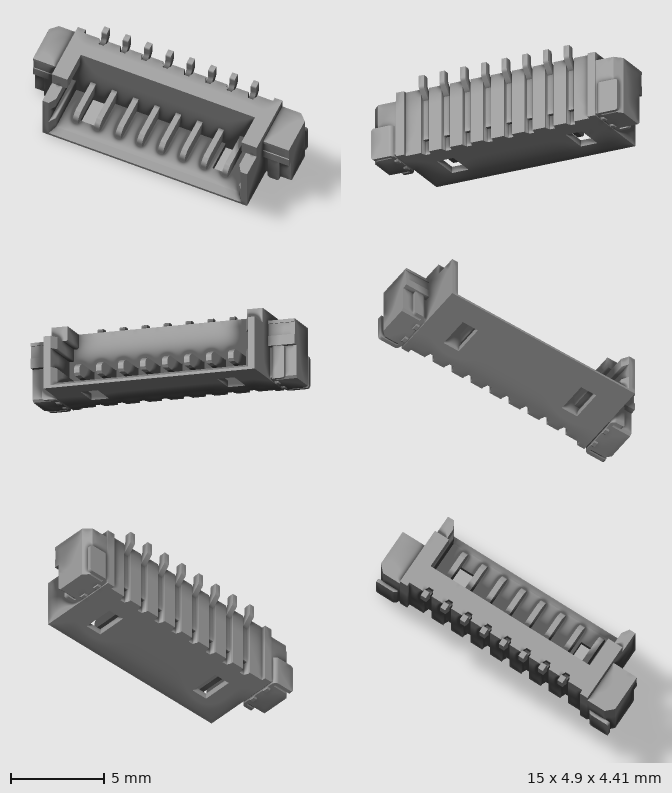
import cadquery as cq
import math

housing_half_width = 6.0
housing_height = 3.7
housing_depth = 4.47
rear_post_width = 0.46
rear_post_depth = 4.7
arm_front = 1.28
arm_bottom = 2.9

cavity_back = 3.08
floor_top = 0.36
arm_half_gap = 5.1
rib_half_gap = 5.37
groove_half_gap = 5.62
groove_bottom = 1.17
groove_top = 2.22
lead_in_depth = 0.4
lead_in_rise = 0.21
arm_edge_radius = 0.1
rib_edge_radius = 0.06

window_inner = 3.39
window_outer = 4.38
window_front = 1.3

ear_half_width = 7.5
ear_top = 3.21
ear_front = 2.13
ear_back = 4.66
ear_corner_chamfer = 0.4
ear_bottom_chamfer = 0.14
ear_undercut_height = 1.8
label_bottom = 2.35
label_top = 3.03
label_recess = 0.06
gap_height_outer = 0.14
gap_height_inner = 0.08

clip_thickness = 0.21
clip_inner_x = 6.12
clip_bend_radius = 0.25
clip_front = 2.22
clip_front_tip = 6.88
clip_back = 4.86
clip_back_tip = 7.42
clip_corner_radius = 0.15
peg_drop = 0.09
peg_length = 0.39
peg_chamfer = 0.06
peg_front_faces = (2.84, 3.88)

pin_count = 8
pin_pitch = 3.75 / 3
pin_width = 0.32
blade_tip = 0.72
blade_bottom = 0.78
blade_top = 1.5
blade_bevel_start = 0.87
blade_bevel_rise = 0.14
blade_slope_start = 1.11
blade_slope_angle = 30
blade_nose_radius = 0.3
shoulder_length = 0.09
shoulder_top = 1.55
tail_back = 4.9
tail_front = 4.48
tail_top = 4.32
tail_front_knee = 3.78
tail_lean_angle = 45
tail_top_radius = 0.1
tail_front_knee_radius = 0.24
tail_back_knee_radius = 0.25
riser_front = 4.11
riser_back = 4.35
riser_radius = 0.18

slot_width = 0.5
slot_taper_back = 4.35
slot_taper_front = 4.17

undercut_face = clip_front + clip_thickness


def box(x0, x1, y0, y1, z0, z1):
    """Axis-aligned block between two opposite corners."""
    return cq.Workplane("XY").box(x1 - x0, y1 - y0, z1 - z0, centered=False).translate((x0, y0, z0))


def on_both_sides(right_half):
    """The given shape together with its mirror image across X = 0."""
    return right_half.union(right_half.mirror("YZ"))


def side_profile(points, width):
    """Outline of (y, z) points extruded symmetrically along X."""
    return cq.Workplane("YZ").polyline(points).close().extrude(width / 2, both=True)


def pin_positions():
    first_pin = -pin_pitch * (pin_count - 1) / 2
    return [first_pin + pin_pitch * i for i in range(pin_count)]


def housing_shell():
    side_outline = [
        (0, 0),
        (housing_depth, 0),
        (housing_depth, housing_height),
        (arm_front, housing_height),
        (arm_front, arm_bottom),
        (0, arm_bottom),
    ]
    post = box(
        housing_half_width - rear_post_width, housing_half_width,
        housing_depth, rear_post_depth, 0, housing_height,
    )
    return side_profile(side_outline, 2 * housing_half_width).union(on_both_sides(post))


def mating_cavity():
    """Cavity with a groove along each side wall, narrowed above by the two arms."""
    right_half = (
        cq.Workplane("XZ")
        .moveTo(0, floor_top)
        .lineTo(rib_half_gap, floor_top)
        .lineTo(rib_half_gap, groove_bottom - rib_edge_radius)
        .radiusArc((rib_half_gap + rib_edge_radius, groove_bottom), rib_edge_radius)
        .lineTo(groove_half_gap, groove_bottom)
        .lineTo(groove_half_gap, groove_top)
        .lineTo(rib_half_gap + rib_edge_radius, groove_top)
        .radiusArc((rib_half_gap, groove_top + rib_edge_radius), rib_edge_radius)
        .lineTo(rib_half_gap, arm_bottom)
        .lineTo(arm_half_gap + arm_edge_radius, arm_bottom)
        .radiusArc((arm_half_gap, arm_bottom + arm_edge_radius), arm_edge_radius)
        .lineTo(arm_half_gap, housing_height)
        .lineTo(0, housing_height)
        .close()
        .extrude(-cavity_back)
    )
    lead_in = (
        cq.Workplane("XZ")
        .polyline(cavity_mouth(groove_half_gap, floor_top - lead_in_rise))
        .close()
        .workplane(offset=-lead_in_depth)
        .polyline(cavity_mouth(rib_half_gap, floor_top))
        .close()
        .loft(ruled=True)
    )
    return on_both_sides(right_half).union(lead_in)


def cavity_mouth(half_width, bottom):
    """Rectangle of (x, z) corners reaching up to the side wall tops."""
    return [
        (-half_width, bottom),
        (half_width, bottom),
        (half_width, arm_bottom),
        (-half_width, arm_bottom),
    ]


def floor_windows():
    return on_both_sides(box(window_inner, window_outer, window_front, cavity_back, 0, floor_top))


def tail_slot():
    """Slot down the rear wall that tapers onto the pin riser."""
    half_pin = pin_width / 2
    half_slot = slot_width / 2
    return (
        cq.Workplane("XY")
        .polyline([
            (-half_slot, housing_depth),
            (-half_slot, slot_taper_back),
            (-half_pin, slot_taper_front),
            (-half_pin, riser_front),
            (half_pin, riser_front),
            (half_pin, slot_taper_front),
            (half_slot, slot_taper_back),
            (half_slot, housing_depth),
        ])
        .close()
        .extrude(housing_height)
    )


def right_ear():
    ear = box(housing_half_width, ear_half_width, ear_front, ear_back, 0, ear_top)
    ear = ear.edges("|Z and >X and >Y").chamfer(ear_corner_chamfer)
    ear = ear.cut(
        box(housing_half_width, ear_half_width, ear_front, undercut_face, 0, ear_undercut_height)
    )
    ear = ear.faces("<Z").edges("|X").chamfer(ear_bottom_chamfer)
    label_panel = box(
        housing_half_width, ear_half_width,
        ear_front, ear_front + label_recess, label_bottom, label_top,
    )
    gap = (
        cq.Workplane("XZ", origin=(0, undercut_face, 0))
        .polyline([
            (housing_half_width, 0),
            (clip_inner_x, 0),
            (clip_inner_x, gap_height_outer),
            (housing_half_width, gap_height_inner),
        ])
        .close()
        .extrude(undercut_face - ear_back)
    )
    return ear.cut(label_panel).cut(gap)


def right_clip():
    """U-shaped strip: two flanges joined by a web along the ear, with two pegs below."""
    web_outer_x = clip_inner_x + clip_thickness
    web = box(clip_inner_x, web_outer_x, clip_front, clip_back, 0, ear_undercut_height)
    front_flange = box(
        clip_inner_x, clip_front_tip, clip_front, undercut_face, 0, ear_undercut_height
    )
    back_flange = box(
        clip_inner_x, clip_back_tip, clip_back - clip_thickness, clip_back, 0, ear_undercut_height
    )
    front_flange = front_flange.edges("|Y and >X").fillet(clip_corner_radius)
    back_flange = back_flange.edges("|Y and >X").fillet(clip_corner_radius)
    clip = web.union(front_flange).union(back_flange)
    clip = clip.edges("|Z and <X").fillet(clip_bend_radius)
    for peg_front in peg_front_faces:
        peg = box(clip_inner_x, web_outer_x, peg_front, peg_front + peg_length, -peg_drop, 0)
        clip = clip.union(peg.faces("<Z").edges("|X").chamfer(peg_chamfer))
    return clip


def round_corner(body, y, z, radius):
    """Fillet the edge along X that passes through (y, z)."""
    return body.edges(cq.NearestToPointSelector((0, y, z))).fillet(radius)


def contact_blade():
    """Blade crossing the cavity, with a sloped and rounded nose."""
    slope_drop = (blade_slope_start - blade_tip) * math.tan(math.radians(blade_slope_angle))
    nose_top = blade_top - slope_drop
    blade = side_profile([
        (riser_back, blade_bottom),
        (blade_bevel_start, blade_bottom),
        (blade_tip, blade_bottom + blade_bevel_rise),
        (blade_tip, nose_top),
        (blade_slope_start, blade_top),
        (cavity_back - shoulder_length, blade_top),
        (cavity_back, shoulder_top),
        (riser_back, shoulder_top),
    ], pin_width)
    blade = round_corner(blade, blade_tip, nose_top, blade_nose_radius)
    return round_corner(blade, blade_slope_start, blade_top, blade_nose_radius)


def contact_tail():
    """Riser from the blade that leans back and ends in an upright solder tail."""
    lean_slope = math.tan(math.radians(tail_lean_angle))
    riser_front_top = tail_front_knee - (tail_front - riser_front) * lean_slope
    half_lean = math.radians(tail_lean_angle / 2)
    tail_back_knee = tail_front_knee - (tail_back - tail_front) * math.tan(half_lean)
    tail = side_profile([
        (tail_back, tail_top),
        (tail_front, tail_top),
        (tail_front, tail_front_knee),
        (riser_front, riser_front_top),
        (riser_front, blade_bottom),
        (riser_back, blade_bottom),
        (riser_back, tail_back_knee - (tail_back - riser_back) * lean_slope),
        (tail_back, tail_back_knee),
    ], pin_width)
    tail = round_corner(tail, tail_front, tail_top, tail_top_radius)
    tail = round_corner(tail, tail_front, tail_front_knee, tail_front_knee_radius)
    tail = round_corner(tail, tail_back, tail_back_knee, tail_back_knee_radius)
    return round_corner(tail, riser_front, riser_front_top, riser_radius)


slot = tail_slot()
pin = contact_blade().union(contact_tail())

result = housing_shell().cut(mating_cavity()).cut(floor_windows())
result = result.union(on_both_sides(right_ear().union(right_clip())))
for pin_x in pin_positions():
    result = result.cut(slot.translate((pin_x, 0, 0)))
    result = result.union(pin.translate((pin_x, 0, 0)))